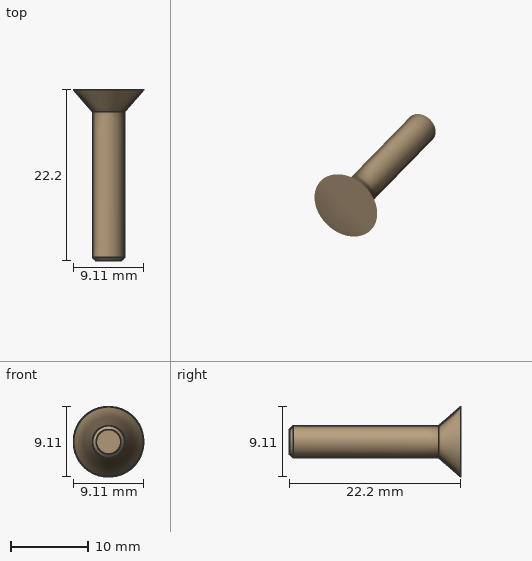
import cadquery as cq
import math

length = 22.23
head_diameter = 9.11
shank_diameter = 4.15
head_angle = 82.0
tip_chamfer = 0.5

head_radius = head_diameter / 2
shank_radius = shank_diameter / 2
head_height = (head_radius - shank_radius) / math.tan(math.radians(head_angle / 2))

half_section = (
    cq.Workplane("XY")
    .moveTo(0, -length)
    .lineTo(shank_radius - tip_chamfer, -length)
    .lineTo(shank_radius, -length + tip_chamfer)
    .lineTo(shank_radius, -head_height)
    .lineTo(head_radius, 0)
    .lineTo(0, 0)
    .close()
)

result = half_section.revolve(360, (0, 0, 0), (0, 1, 0))